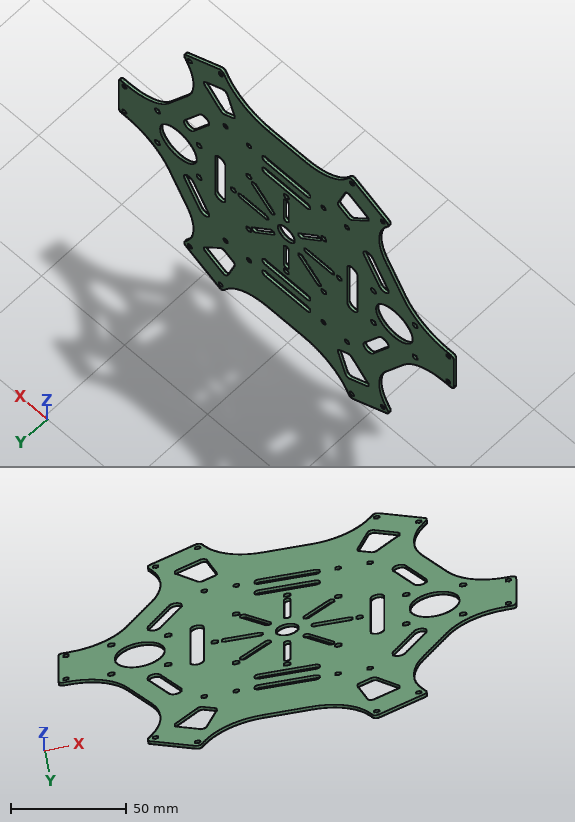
import cadquery as cq
import math

SPAN = 202.0
THICKNESS = 1.55
ARM_COUNT = 6
ARM_STEP = 360 / ARM_COUNT

BODY_APOTHEM = 75.3
ARM_WIDTH = 27.3
ARM_ROOT_RADIUS = 29.3
ARM_TIP_RADIUS = 2.0

TIP_HOLE_REACH = 97.5
TIP_HOLE_OFFSET = 10.7
TIP_HOLE_DIAMETER = 2.5

WINDOW_ANGLES = (60, 120, 240, 300)
WINDOW_INNER_REACH = 69.0
WINDOW_OUTER_REACH = 87.0
WINDOW_INNER_WIDTH = 9.0
WINDOW_OUTER_WIDTH = 16.8
WINDOW_CORNER_RADIUS = 2.0

MOUNT_REACH = 65.0
MOUNT_DIAMETER = 22.0
MOUNT_SCREW_SPACING_X = 25.0
MOUNT_SCREW_SPACING_Z = 27.0
MOUNT_SCREW_DIAMETER = 3.0

CENTRE_BORE_DIAMETER = 10.0
STAR_COUNT = 8
STAR_SLOT_REACH = 19.8
STAR_SLOT_LENGTH = 18.2
STAR_SLOT_WIDTH = 2.8
STAR_HOLE_REACH = 32.0
STAR_HOLE_DIAMETER = 3.0

WIDE_SLOT_WIDTH = 6.0
SIDE_SLOT_REACH = 39.8
SIDE_SLOT_LENGTH = 36.2
EDGE_SLOT_ANGLES = (30, 150, 210, 330)
EDGE_SLOT_REACH = 62.5
EDGE_SLOT_LENGTH = 24.2
STRAP_SLOT_LENGTH = 28.9
STRAP_SLOT_WIDTH = 4.0
STRAP_SLOT_INNER_REACH = 39.0
STRAP_SLOT_OUTER_REACH = 48.9

ROW_HOLE_REACHES = (22.5, 36.5)
ROW_HOLE_DIAMETER = 2.6


def prism(sketch):
    """Extrude a profile drawn in the XZ plane to the plate thickness, centred on Y = 0."""
    return sketch.extrude(THICKNESS / 2, both=True)


def polar(reach, angle, offset=0.0):
    """Point at a distance along a ray from the centre, moved sideways by an offset."""
    a = math.radians(angle)
    return (
        reach * math.cos(a) - offset * math.sin(a),
        reach * math.sin(a) + offset * math.cos(a),
    )


def holes(points, diameter):
    """Round through holes at the given (x, z) points."""
    return prism(cq.Workplane("XZ").pushPoints(points).circle(diameter / 2))


def slot(reach, angle, length, width, turn=0.0):
    """Round-ended slot centred on a ray; its long axis is turned away from the ray."""
    centre = polar(reach, angle)
    return prism(cq.Workplane("XZ").center(*centre).slot2D(length, width, angle + turn))


def plate():
    """Hexagonal body with six arms, before any openings are cut."""
    body_diameter = 2 * BODY_APOTHEM / math.cos(math.radians(ARM_STEP / 2))
    body = prism(cq.Workplane("XZ").polygon(ARM_COUNT, body_diameter))
    arm_pair = prism(cq.Workplane("XZ").rect(SPAN, ARM_WIDTH)).edges("|Y").fillet(ARM_TIP_RADIUS)
    for pair in range(ARM_COUNT // 2):
        body = body.union(arm_pair.rotate((0, 0, 0), (0, 1, 0), pair * ARM_STEP))
    half_width = ARM_WIDTH / 2
    half_step = math.radians(ARM_STEP / 2)
    root_reach = (BODY_APOTHEM - half_width * math.sin(half_step)) / math.cos(half_step)
    roots = [
        polar(root_reach, arm * ARM_STEP, side * half_width)
        for arm in range(ARM_COUNT)
        for side in (-1, 1)
    ]
    for x, z in roots:
        corner = cq.selectors.NearestToPointSelector((x, 0, z))
        body = body.edges(corner).fillet(ARM_ROOT_RADIUS)
    return body


def arm_window(angle):
    """Tapered opening along an arm, wider toward the tip."""
    corners = [
        polar(WINDOW_INNER_REACH, angle, -WINDOW_INNER_WIDTH / 2),
        polar(WINDOW_OUTER_REACH, angle, -WINDOW_OUTER_WIDTH / 2),
        polar(WINDOW_OUTER_REACH, angle, WINDOW_OUTER_WIDTH / 2),
        polar(WINDOW_INNER_REACH, angle, WINDOW_INNER_WIDTH / 2),
    ]
    window = prism(cq.Workplane("XZ").polyline(corners).close())
    return window.edges("|Y").fillet(WINDOW_CORNER_RADIUS)


result = plate()

tip_holes = [
    polar(TIP_HOLE_REACH, arm * ARM_STEP, side * TIP_HOLE_OFFSET)
    for arm in range(ARM_COUNT)
    for side in (-1, 1)
]
result = result.cut(holes(tip_holes, TIP_HOLE_DIAMETER))

for angle in WINDOW_ANGLES:
    result = result.cut(arm_window(angle))

for side in (-1, 1):
    mount_x = side * MOUNT_REACH
    screws = [
        (mount_x + i * MOUNT_SCREW_SPACING_X / 2, j * MOUNT_SCREW_SPACING_Z / 2)
        for i in (-1, 1)
        for j in (-1, 1)
    ]
    result = result.cut(holes([(mount_x, 0)], MOUNT_DIAMETER))
    result = result.cut(holes(screws, MOUNT_SCREW_DIAMETER))
    result = result.cut(slot(side * SIDE_SLOT_REACH, 0, SIDE_SLOT_LENGTH, WIDE_SLOT_WIDTH, turn=90))

for angle in EDGE_SLOT_ANGLES:
    result = result.cut(slot(EDGE_SLOT_REACH, angle, EDGE_SLOT_LENGTH, WIDE_SLOT_WIDTH, turn=90))

for angle in (90, 270):
    for reach in (STRAP_SLOT_INNER_REACH, STRAP_SLOT_OUTER_REACH):
        result = result.cut(slot(reach, angle, STRAP_SLOT_LENGTH, STRAP_SLOT_WIDTH, turn=90))
    row = [
        polar(STRAP_SLOT_OUTER_REACH, angle, side * reach)
        for reach in ROW_HOLE_REACHES
        for side in (-1, 1)
    ]
    result = result.cut(holes(row, ROW_HOLE_DIAMETER))

result = result.cut(holes([(0, 0)], CENTRE_BORE_DIAMETER))
for ray in range(STAR_COUNT):
    angle = ray * 360 / STAR_COUNT
    result = result.cut(slot(STAR_SLOT_REACH, angle, STAR_SLOT_LENGTH, STAR_SLOT_WIDTH))
    result = result.cut(holes([polar(STAR_HOLE_REACH, angle)], STAR_HOLE_DIAMETER))